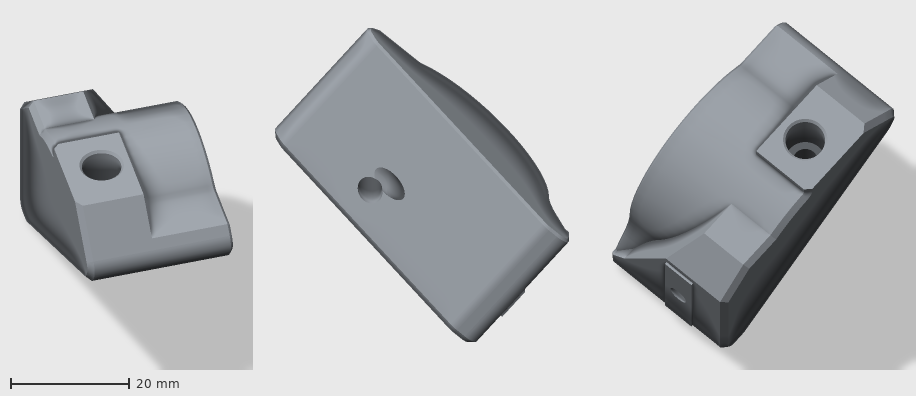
import cadquery as cq
import math

DEPTH = 25.4
HEIGHT = 34.28
CLEARANCE = 4.55

PAD_THICKNESS = 0.45
LEFT_X = PAD_THICKNESS
CORNER_RADIUS = 2.75
UNDERSIDE_START_X = 5.7
UNDERSIDE_ANGLE = math.radians(30)
END_X = 44.05
END_ANGLE = math.radians(60)
SHOULDER_SUM = 72.25

LEFT_WALL_TOP = 24.0
WEDGE_TOP = 29.85
WEDGE_TOP_X = 6.45
DRUM_X = 23.15
DRUM_Z = 14.3
DRUM_RADIUS = 18.3
BLOCK_X = 22.25
BLOCK_DEPTH = 11.65
BLOCK_FILLET = 0.4
SHELF_Z = 28.9
SHELF_FILLET = 2.0

WEDGE_TOP_Y = 9.7
WEDGE_ANGLE = math.radians(60)
WEDGE_BREAK_Z = 7.95
FOOT_Z = 5.55
FLARE_RADIUS = 10.57
FLARE_ANGLE = math.radians(30)

FRONT_CHAMFER = 1.0
BACK_CHAMFER = 0.45

PAD_Y = 10.0
PAD_WIDTH = 5.93
PAD_TOP = 22.65
SIDE_HOLE_DIAMETER = 3.5
TOP_HOLE_X = 29.2
TOP_HOLE_Y = 6.7
TOP_HOLE_DIAMETER = 4.2
COUNTERBORE_DIAMETER = 6.7
COUNTERBORE_DEPTH = 10.05
COUNTERBORE_CHAMFER = 0.4

OVER_TOP = HEIGHT + CLEARANCE


def drum_z(x):
    """Height of the drum surface at x."""
    return DRUM_Z + math.sqrt(DRUM_RADIUS**2 - (x - DRUM_X) ** 2)


def drum_x(z, side):
    """Drum surface at height z: side -1 is left of the axis, +1 is right."""
    return DRUM_X + side * math.sqrt(DRUM_RADIUS**2 - (z - DRUM_Z) ** 2)


def extrude_y(sketch, depth):
    """Extrude an XZ sketch from the front plane toward +Y."""
    return sketch.extrude(-depth)


def base_prism(depth):
    """Convex outline with rounded lower corners, open above the top."""
    end_z = (END_X - UNDERSIDE_START_X) * math.tan(UNDERSIDE_ANGLE)
    end_slope = math.tan(END_ANGLE)
    tip_x = (SHOULDER_SUM - end_z + end_slope * END_X) / (1 + end_slope)
    tip_z = SHOULDER_SUM - tip_x
    outline = cq.Workplane("XZ").polyline([
        (LEFT_X, 0),
        (UNDERSIDE_START_X, 0),
        (END_X, end_z),
        (tip_x, tip_z),
        (SHOULDER_SUM - OVER_TOP, OVER_TOP),
        (LEFT_X, OVER_TOP),
    ]).close()
    lower_corners = cq.selectors.BoxSelector(
        (-CLEARANCE, -CLEARANCE, -CLEARANCE),
        (DEPTH * 2, DEPTH * 2, tip_z + 0.45),
    )
    return extrude_y(outline, depth).edges("|Y").edges(lower_corners).fillet(CORNER_RADIUS)


def front_body():
    """Front slab: wedge top, drum crown and raised block, chamfered in front."""
    fillet_x = BLOCK_X - BLOCK_FILLET
    reach = DRUM_RADIUS + BLOCK_FILLET
    fillet_z = DRUM_Z + math.sqrt(reach**2 - (fillet_x - DRUM_X) ** 2)
    touch_x = DRUM_X + (fillet_x - DRUM_X) * DRUM_RADIUS / reach
    middle_x = (drum_x(WEDGE_TOP, -1) + touch_x) / 2
    bend = math.radians(45)
    upper = (
        cq.Workplane("XZ")
        .moveTo(LEFT_X, -CLEARANCE)
        .lineTo(LEFT_X, LEFT_WALL_TOP)
        .lineTo(WEDGE_TOP_X, WEDGE_TOP)
        .lineTo(drum_x(WEDGE_TOP, -1), WEDGE_TOP)
        .threePointArc((middle_x, drum_z(middle_x)), (touch_x, drum_z(touch_x)))
        .threePointArc(
            (fillet_x + BLOCK_FILLET * math.cos(bend), fillet_z - BLOCK_FILLET * math.sin(bend)),
            (BLOCK_X, fillet_z),
        )
        .lineTo(BLOCK_X, OVER_TOP)
        .lineTo(SHOULDER_SUM, OVER_TOP)
        .lineTo(SHOULDER_SUM, -CLEARANCE)
        .close()
    )
    slab = base_prism(BLOCK_DEPTH).intersect(extrude_y(upper, BLOCK_DEPTH))
    slab = slab.faces("<Y").edges().chamfer(FRONT_CHAMFER)
    below_top = cq.Workplane("XY").box(2 * SHOULDER_SUM, 4 * DEPTH, HEIGHT, centered=(True, True, False))
    return slab.intersect(below_top)


def wedge():
    """Left wedge falling toward the back, with a bevelled left shoulder."""
    break_y = WEDGE_TOP_Y + (WEDGE_TOP - WEDGE_BREAK_Z) / math.tan(WEDGE_ANGLE)
    foot_y = break_y + WEDGE_BREAK_Z - FOOT_Z
    side = cq.Workplane("YZ").polyline([
        (0, 0),
        (foot_y, 0),
        (foot_y, FOOT_Z),
        (break_y, WEDGE_BREAK_Z),
        (WEDGE_TOP_Y, WEDGE_TOP),
        (0, WEDGE_TOP),
    ]).close().extrude(DRUM_X)
    front = cq.Workplane("XZ").polyline([
        (LEFT_X, 0),
        (LEFT_X, LEFT_WALL_TOP),
        (WEDGE_TOP_X, WEDGE_TOP),
        (DRUM_X, WEDGE_TOP),
        (DRUM_X, 0),
    ]).close()
    return side.intersect(extrude_y(front, DEPTH)).intersect(base_prism(DEPTH))


def drum_body():
    """Full-depth drum with its flared foot and right shelf, chamfered at the back."""
    flare_x = DRUM_X - DRUM_RADIUS
    flare_end_x = flare_x - FLARE_RADIUS * (1 - math.cos(FLARE_ANGLE))
    flare_end_z = DRUM_Z - FLARE_RADIUS * math.sin(FLARE_ANGLE)
    flare_mid = FLARE_ANGLE / 2
    foot_x = flare_end_x - (flare_end_z - FOOT_Z) * math.tan(FLARE_ANGLE)
    fillet_z = SHELF_Z + SHELF_FILLET
    reach = DRUM_RADIUS + SHELF_FILLET
    fillet_x = DRUM_X + math.sqrt(reach**2 - (fillet_z - DRUM_Z) ** 2)
    touch_x = DRUM_X + (fillet_x - DRUM_X) * DRUM_RADIUS / reach
    touch_z = drum_z(touch_x)
    to_touch = math.atan2(touch_z - fillet_z, touch_x - fillet_x)
    middle = (to_touch - math.pi / 2) / 2
    profile = (
        cq.Workplane("XZ")
        .moveTo(LEFT_X, -CLEARANCE)
        .lineTo(LEFT_X, FOOT_Z)
        .lineTo(foot_x, FOOT_Z)
        .lineTo(flare_end_x, flare_end_z)
        .threePointArc(
            (
                flare_x - FLARE_RADIUS * (1 - math.cos(flare_mid)),
                DRUM_Z - FLARE_RADIUS * math.sin(flare_mid),
            ),
            (flare_x, DRUM_Z),
        )
        .threePointArc((DRUM_X, DRUM_Z + DRUM_RADIUS), (touch_x, touch_z))
        .threePointArc(
            (fillet_x + SHELF_FILLET * math.cos(middle), fillet_z + SHELF_FILLET * math.sin(middle)),
            (fillet_x, SHELF_Z),
        )
        .lineTo(SHOULDER_SUM, SHELF_Z)
        .lineTo(SHOULDER_SUM, -CLEARANCE)
        .close()
    )
    body = extrude_y(profile, DEPTH).intersect(base_prism(DEPTH))
    return body.faces(">Y").edges().chamfer(BACK_CHAMFER)


def depth_slice(start, end):
    """Large slab bounding the part between two depths."""
    return cq.Workplane("XY").box(
        2 * SHOULDER_SUM, end - start, 2 * OVER_TOP, centered=(True, False, True)
    ).translate((0, start, 0))


def pad():
    """Thin raised pad on the left wall."""
    return cq.Workplane("XY").box(
        2 * PAD_THICKNESS, PAD_WIDTH, PAD_TOP - CORNER_RADIUS, centered=(False, True, False)
    ).translate((0, PAD_Y, CORNER_RADIUS))


def side_hole():
    """Through hole along X at mid-height of the pad."""
    center_z = (PAD_TOP + CORNER_RADIUS) / 2
    return cq.Workplane("YZ").center(PAD_Y, center_z).circle(SIDE_HOLE_DIAMETER / 2).extrude(SHOULDER_SUM)


def top_hole():
    """Vertical through hole with a deep, chamfered counterbore."""
    top = cq.Workplane("XY", origin=(TOP_HOLE_X, TOP_HOLE_Y, HEIGHT))
    bore = top.circle(TOP_HOLE_DIAMETER / 2).extrude(-HEIGHT)
    counterbore = top.circle(COUNTERBORE_DIAMETER / 2).extrude(-COUNTERBORE_DEPTH)
    mouth = (
        top.circle(COUNTERBORE_DIAMETER / 2 + COUNTERBORE_CHAMFER)
        .extrude(-COUNTERBORE_CHAMFER, taper=45)
    )
    return bore.union(counterbore).union(mouth)


wedge_and_drum = drum_body().union(wedge())

crown_x = drum_x(WEDGE_TOP, -1)
left_of_crown = cq.Workplane("XY").box(
    crown_x, BLOCK_DEPTH - WEDGE_TOP_Y, OVER_TOP, centered=False
).translate((0, WEDGE_TOP_Y, 0))
front = front_body().cut(left_of_crown.cut(wedge_and_drum))
rear = wedge_and_drum.intersect(depth_slice(BLOCK_DEPTH, DEPTH))

result = front.union(rear).union(pad()).cut(side_hole()).cut(top_hole())